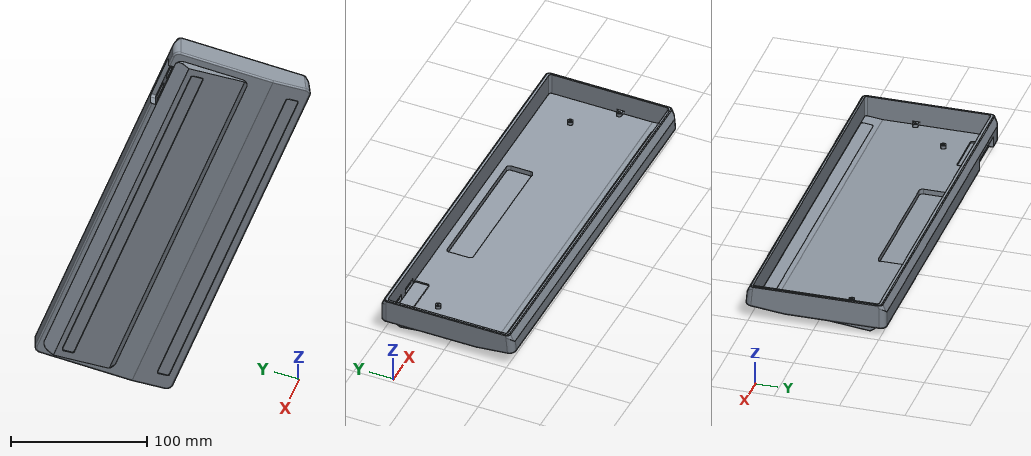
import cadquery as cq
import math


length = 291.4
depth = 107.8
tray_height = 19.8
foot_drop = 6.7
tilt_slope = 0.105
front_rim_setback = 4.0
front_bend_setback = 1.0
back_rim_setback = 3.0
rim_slope_height = 7.0
bend_height = tray_height - rim_slope_height
lower_corner_radius = 5.0
upper_corner_radius = 3.0
underside_edge_radius = 1.2
rim_chamfer = 0.5

slack = 0.3

side_wall = 2.0
inner_front = 6.0
back_wall = 5.5
inner_back = depth - back_wall
inner_corner_radius = 1.7
floor_height = 2.3
floor_bend_y = 19.5

foot_inset = 6.5
foot_back = 103.5
foot_apex_y = 94.5
foot_ramp_y = 50.7
foot_front = 47.2
foot_corner_radius = 5.0

strip_inset = 12.2
strip_width = 9.3
strip_depth = 1.0
strip_corner_radius = 1.5
strip_centres_y = (10.8, 85.5)

middle_recess_size = (109.5, 21.0)
middle_recess_centre = (-0.3, 85.0)
middle_recess_depth = 4.0
middle_recess_radius = 2.5
port_recess_x = (-132.0, -95.5)
port_recess_front = 90.3
port_recess_depth = 1.2
port_recess_radius = 1.7

ports = ((-129.0, -119.0), (-112.0, -98.5))
port_bottom = 1.7
port_top = 6.5
port_radius = 1.0

plug_wall = 1.7
plug_relief_top = 9.3
plug_relief_radius = 1.7

boss_diameter = 4.0
boss_hole = 1.63
boss_height = 2.5
floor_boss_x = 117.0
floor_boss_y = 73.7
wall_boss_x = 141.0
wall_boss_y = 45.2
web_flare = 1.0


def rest_height(y):
    """Height of the tilted plane the case rests on."""
    return -foot_drop + tilt_slope * (foot_apex_y - y)


def prism(points, width):
    """Outline in Y and Z, extruded along X about the centre."""
    return cq.Workplane("YZ").polyline(points).close().extrude(width / 2, both=True)


def make_block(x_range, y_range, z_range, radius):
    """Box with rounded upright edges, given by its X, Y and Z limits."""
    x_size, y_size, z_size = (high - low for low, high in (x_range, y_range, z_range))
    block = cq.Workplane().box(x_size, y_size, z_size, centered=False)
    block = block.edges("|Z").fillet(radius)
    return block.translate((x_range[0], y_range[0], z_range[0]))


def on_line(start, end, z):
    """Point at height z on the straight line through two (y, z) points."""
    share = (z - start[1]) / (end[1] - start[1])
    return (start[0] + share * (end[0] - start[0]), z)


def make_body():
    """Solid tray: the sides lean in gently, then more strongly above a bend."""
    flat_start = (foot_apex_y - foot_drop / tilt_slope, 0)
    front_low = (0, rest_height(0))
    front_bend = (front_bend_setback, bend_height)
    front_rim = (front_rim_setback, tray_height)
    back_low = (depth, 0)
    back_bend = (depth, bend_height)
    back_rim = (depth - back_rim_setback, tray_height)

    lower = prism(
        [
            flat_start,
            back_low,
            on_line(back_low, back_bend, tray_height),
            on_line(front_low, front_bend, tray_height),
            front_low,
        ],
        length,
    )
    lower = lower.faces("<Y or >Y").edges("not |X").fillet(lower_corner_radius)
    underside_zone = cq.selectors.BoxSelector(
        (-length, -depth, -tray_height), (length, 2 * depth, rest_height(0) + slack)
    )
    underside_fold = cq.selectors.NearestToPointSelector((0, *flat_start))
    lower = lower.edges(underside_zone - underside_fold).fillet(underside_edge_radius)

    upper = prism(
        [
            on_line(front_rim, front_bend, 0),
            on_line(back_rim, back_bend, 0),
            back_rim,
            front_rim,
        ],
        length,
    )
    upper = upper.faces("<Y or >Y").edges("not |X").fillet(upper_corner_radius)
    upper = upper.faces(">Z").chamfer(rim_chamfer)
    return lower.intersect(upper)


def make_foot():
    """Wedge foot whose underside lies in the resting plane."""
    width = length - 2 * foot_inset
    top = floor_height / 2
    wedge = prism(
        [
            (foot_back, 0),
            (foot_apex_y, -foot_drop),
            (foot_ramp_y, rest_height(foot_ramp_y)),
            (foot_front, 0),
            (foot_front, top),
            (foot_back, top),
        ],
        width,
    )
    outline = make_block(
        (-width / 2, width / 2), (foot_front, foot_back), (-foot_drop, top), foot_corner_radius
    )
    return wedge.intersect(outline)


def make_cavity():
    """Space inside the walls, with the front of the floor tilted upward."""
    floor_rise = tilt_slope * (floor_bend_y - inner_front)
    cavity = prism(
        [
            (inner_front, floor_height + floor_rise),
            (floor_bend_y, floor_height),
            (inner_back, floor_height),
            (inner_back, tray_height),
            (inner_front, tray_height),
        ],
        length - 2 * side_wall,
    )
    return cavity.edges("|Z").fillet(inner_corner_radius)


def make_middle_recess():
    """Deep recess in the floor above the foot."""
    centre_x, centre_y = middle_recess_centre
    half_x, half_y = (size / 2 for size in middle_recess_size)
    return make_block(
        (centre_x - half_x, centre_x + half_x),
        (centre_y - half_y, centre_y + half_y),
        (floor_height - middle_recess_depth, floor_height),
        middle_recess_radius,
    )


def make_port_recess():
    """Shallow floor recess in front of the port openings."""
    return make_block(
        port_recess_x,
        (port_recess_front, inner_back),
        (floor_height - port_recess_depth, floor_height),
        port_recess_radius,
    )


def make_port(x_range):
    """Rounded opening that passes through the back wall."""
    x_size = x_range[1] - x_range[0]
    port = cq.Workplane().box(x_size, depth, port_top - port_bottom, centered=False)
    port = port.edges("|Y").fillet(port_radius)
    return port.translate((x_range[0], inner_back - slack, port_bottom))


def make_plug_relief():
    """Hollow in the outside of the back wall, open at the bottom, behind the ports."""
    x_size = port_recess_x[1] - port_recess_x[0]
    height = plug_relief_top + slack
    relief = cq.Workplane().box(x_size, depth, height, centered=False)
    relief = relief.edges("|Y and >Z").fillet(plug_relief_radius)
    return relief.translate((port_recess_x[0], inner_back + plug_wall, -slack))


def make_strip(centre_y):
    """Recess for a rubber strip, sunk square to the resting plane."""
    tilt = -math.degrees(math.atan(tilt_slope))
    half_x = length / 2 - strip_inset
    half_y = strip_width / 2
    strip = make_block(
        (-half_x, half_x), (-half_y, half_y), (-strip_depth, strip_depth), strip_corner_radius
    )
    strip = strip.rotate((0, 0, 0), (1, 0, 0), tilt)
    return strip.translate((0, centre_y, rest_height(centre_y)))


def make_post(x, y):
    """Round screw post standing on the floor."""
    post = cq.Workplane().circle(boss_diameter / 2).extrude(boss_height)
    return post.translate((x, y, floor_height))


def make_web(side):
    """Web from a wall post to its end wall, flared where it meets the wall; side is -1 or 1."""
    wall_x = length / 2 - side_wall
    root_x = length / 2 - side_wall / 2
    half_web = boss_diameter / 2
    flare_x = wall_x - web_flare
    half_root = half_web + web_flare
    web = (
        cq.Workplane()
        .moveTo(wall_boss_x, -half_web)
        .lineTo(flare_x, -half_web)
        .radiusArc((wall_x, -half_root), web_flare)
        .lineTo(root_x, -half_root)
        .lineTo(root_x, half_root)
        .lineTo(wall_x, half_root)
        .radiusArc((flare_x, half_web), web_flare)
        .lineTo(wall_boss_x, half_web)
        .close()
        .extrude(boss_height)
    )
    if side < 0:
        web = web.mirror("YZ")
    return web.translate((0, wall_boss_y, floor_height))


def make_screw_hole(x, y):
    """Screw hole through the height of a post."""
    hole = cq.Workplane().circle(boss_hole / 2).extrude(boss_height)
    return hole.translate((x, y, floor_height))


result = make_body().union(make_foot()).cut(make_cavity())
result = result.cut(make_middle_recess()).cut(make_port_recess())
for port in ports:
    result = result.cut(make_port(port))
result = result.cut(make_plug_relief())
for centre_y in strip_centres_y:
    result = result.cut(make_strip(centre_y))

for side in (-1, 1):
    result = result.union(make_web(side))
    for x, y in ((floor_boss_x, floor_boss_y), (wall_boss_x, wall_boss_y)):
        result = result.union(make_post(side * x, y))
        result = result.cut(make_screw_hole(side * x, y))